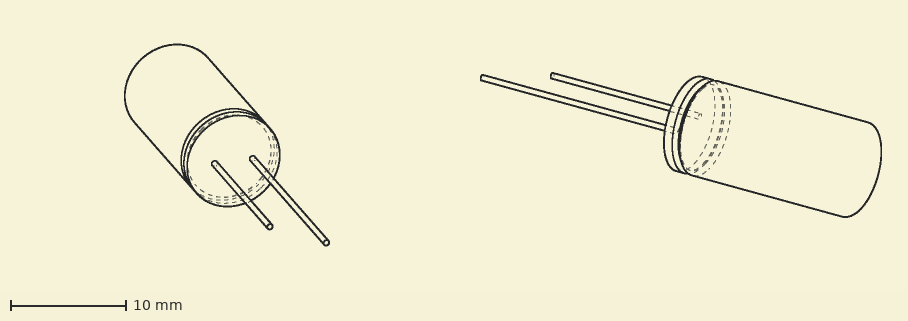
import cadquery as cq

overall_length = 37.0
can_diameter = 8.5
body_length = 17.02
case_edge_radius = 0.2
groove_width = 0.75
groove_depth = 0.4
groove_wall_height = 0.07
rim_length = 0.85
lead_diameter = 0.5
lead_pitch = 3.48
short_lead_length = 15.0

can_radius = can_diameter / 2
closed_end_x = -overall_length / 2
seal_face_x = closed_end_x + body_length
groove_x = seal_face_x - rim_length - groove_width / 2
long_lead_length = overall_length - body_length


def make_cylinder(start_x, end_x):
    """Solid cylinder of the can's diameter, along X."""
    return (
        cq.Workplane("YZ", origin=(start_x, 0, 0))
        .circle(can_radius)
        .extrude(end_x - start_x)
    )


def make_groove():
    """Ring that cuts the groove: short straight walls with a rounded bottom."""
    half_width = groove_width / 2
    arc_end_radius = can_radius - groove_wall_height
    return (
        cq.Workplane("XY")
        .moveTo(groove_x - half_width, can_radius)
        .lineTo(groove_x - half_width, arc_end_radius)
        .threePointArc(
            (groove_x, can_radius - groove_depth),
            (groove_x + half_width, arc_end_radius),
        )
        .lineTo(groove_x + half_width, can_radius)
        .close()
        .revolve(360, (0, 0, 0), (1, 0, 0))
    )


def make_case():
    """Case with a rounded closed end and the near half of the groove."""
    cylinder = make_cylinder(closed_end_x, groove_x)
    return cylinder.faces("<X").edges().fillet(case_edge_radius).cut(make_groove())


def make_seal():
    """End seal with the far half of the groove and a full-diameter rim."""
    return make_cylinder(groove_x, seal_face_x).cut(make_groove())


def make_lead(y, length):
    """Straight round wire standing on the outer face of the seal."""
    return (
        cq.Workplane("YZ", origin=(seal_face_x, y, 0))
        .circle(lead_diameter / 2)
        .extrude(length)
    )


case = make_case()
seal = make_seal()

lead_layout = [
    (-lead_pitch / 2, short_lead_length),
    (lead_pitch / 2, long_lead_length),
]
leads = [make_lead(y, length).val() for y, length in lead_layout]

result = cq.Compound.makeCompound([case.val(), seal.val(), *leads])